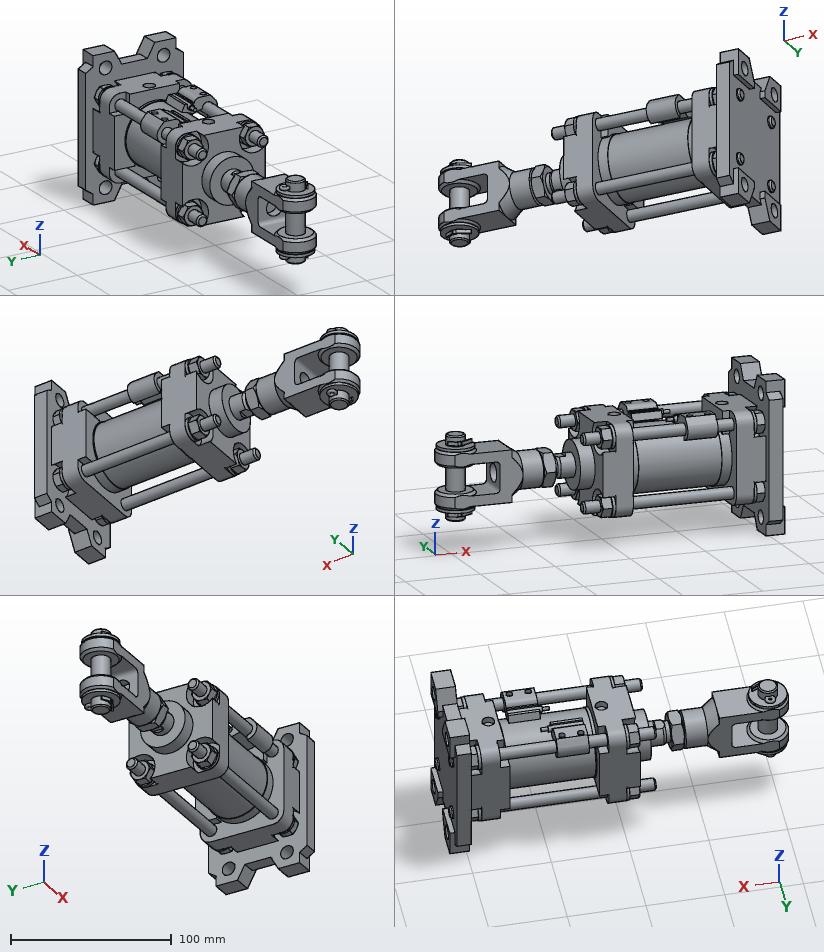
import cadquery as cq
import math


eye_radius = 13.0
pin_x = eye_radius
slot_end_x = 38.2
block_end_x = 46.2
neck_start_x = 53.5
neck_end_x = 67.2
lock_nut_start_x = 68.0
lock_nut_end_x = 76.0
thread_end_x = 78.7
tie_rod_start_x = 88.8
collar_start_x = 90.2
front_head_start_x = 100.0
front_head_end_x = 120.0
rear_head_start_x = 188.7
flange_start_x = 208.5
flange_back_x = 217.7
overall_length = 221
tie_rod_end_x = 219.7
tube_band_length = 6.6

clevis_width = 24.0
clevis_height = 34.0
arm_thickness = 6.9
slot_height = clevis_height - 2 * arm_thickness
slot_corner_radius = 2.9
eye_chamfer = 1.8
neck_radius = clevis_width / 2
thread_hole_radius = 6.0
thread_hole_depth = 6.6

pin_radius = 6.2
pin_length = 55.2
pin_chamfer = 0.9
washer_radius = 12.05
washer_thickness = 2.0
cotter_height = 2.5
cotter_leg_width = 1.0
cotter_z = 23.0
cotter_eye_y = 7.7
cotter_eye_radius = 2.2
cotter_bend_y = -7.5
long_leg_end = (9.5, -2.9)
short_leg_end = (-6.9, -4.5)

thread_radius = 6.96
rod_radius = 8.0
rod_cone_length = 1.8
flat_half_height = 6.96
flat_end_x = 84.6
flat_runout = 1.0
lock_nut_across_flats = 22.0
nut_chamfer_angle = 30

head_size = 60.1
tie_rod_radius = 4.0
tie_rod_offset = 22.0
tie_rod_chamfer = 1.0
head_corner_radius = head_size / 2 - tie_rod_offset
collar_radius = 16.02
tube_radius = 21.9
tube_band_radius = 22.3
nut_recess_radius = 10.8
front_recess_depth = 8.6
rear_recess_depth = 7.7
front_seat_x = front_head_start_x + front_recess_depth
rear_seat_x = flange_start_x - rear_recess_depth
nut_across_flats = 13.0
nut_washer_radius = 7.7
nut_washer_thickness = 2.0
boss_width = 2 * (tie_rod_offset - tie_rod_radius)
boss_inner_offset = 15.0
top_boss_length = 4.6
side_boss_length = 6.0
port_radius = 3.87
port_depth = 4.5
front_port_x = 118.7
rear_port_x = 190.5

flange_width = 71.0
flange_height = 100.0
ear_half_width = head_size / 2
ear_shoulder_z = 42.7
ear_chamfer_z = 39.1
notch_top_half_width = 14.5
notch_floor_half_width = 9.3
notch_floor_z = 40.2
pad_inner_y = 7.5
pad_bottom_z = 32.3
mount_hole_radius = 4.53
mount_hole_y = 21.0
mount_hole_z = 40.0

bracket_length = 20.1
bracket_start_x = 132.2
switch_pivot_x = 154.5
bracket_outer_radius = 7.0
bracket_top_z = 30.3
bracket_top_outer_y = 24.0
bracket_top_inner_y = 16.4
bracket_step = (25.5, 29.0)
bracket_slant_low_z = 25.6
bracket_shoulder = (14.0, 29.6)
cradle_top_z = 27.5
cradle_outer_y = 12.4
cradle_lip_top_y = 5.5
cradle_lip_foot_y = 3.3
cradle_foot_y = 11.0
cradle_foot_radius = 23.0
switch_radius = 2.0
switch_y = 9.3
switch_z = 25.5
switch_overhang = 2.2
lead_radius = 1.22
lead_y = 9.0
lead_length = 4.5
bracket_screw_radius = 2.0
bracket_screw_depth = 3.3
bracket_screw_y = 21.5
bracket_screw_inset = 4.0
bracket_screw_spacing = 12.0


def x_cylinder(start_x, end_x, radius, y=0.0, z=0.0):
    return cq.Workplane("YZ", origin=(start_x, y, z)).circle(radius).extrude(end_x - start_x)


def block(x_range, y_range, z_range):
    low, high = zip(x_range, y_range, z_range)
    size = [b - a for a, b in zip(low, high)]
    return cq.Workplane("XY").box(*size, centered=False).translate(low)


def chamfered_hex(start_x, end_x, across_flats, y=0.0, z=0.0, chamfered_ends="<X or >X"):
    """Hexagon along X with corners at +Y and -Y, its corners chamfered at the chosen ends."""
    corner_radius = across_flats / math.sqrt(3)
    chamfer_width = corner_radius - across_flats / 2
    chamfer_length = chamfer_width * math.tan(math.radians(nut_chamfer_angle))
    nut = cq.Workplane("YZ", origin=(start_x, y, z)).polygon(6, 2 * corner_radius)
    nut = nut.extrude(end_x - start_x)
    envelope = x_cylinder(start_x, end_x, corner_radius, y, z)
    envelope = envelope.faces(chamfered_ends).chamfer(chamfer_length, chamfer_width)
    return nut.intersect(envelope)


tie_rod_places = [
    (y, z) for y in (-tie_rod_offset, tie_rod_offset) for z in (-tie_rod_offset, tie_rod_offset)
]


def clevis_eye(middle_z):
    """Round end of one arm, standing proud of both arm faces with a chamfer."""
    height = arm_thickness + 2 * eye_chamfer
    eye = cq.Workplane("XY").circle(eye_radius).extrude(height).edges("%CIRCLE").chamfer(eye_chamfer)
    return eye.translate((pin_x, 0, middle_z - height / 2))


def make_clevis():
    half_width = clevis_width / 2
    half_height = clevis_height / 2
    width_range = (-half_width, half_width)
    body = block((pin_x, block_end_x), width_range, (-half_height, half_height))
    shank_profile = [
        (block_end_x, 0),
        (block_end_x, half_height),
        (neck_start_x, neck_radius),
        (neck_end_x, neck_radius),
        (neck_end_x, 0),
    ]
    shank = cq.Workplane("XY").polyline(shank_profile).close().revolve(360, (0, 0, 0), (1, 0, 0))
    slot = block((0, slot_end_x), width_range, (-slot_height / 2, slot_height / 2))
    slot = slot.edges(">X and |Y").fillet(slot_corner_radius)
    body = body.union(shank).cut(slot)
    arm_middle_z = (half_height + slot_height / 2) / 2
    keep = cq.Workplane("XY").center(pin_x, 0).circle(eye_radius).extrude(half_height, both=True)
    keep = keep.union(block((pin_x, overall_length), width_range, (-half_height, half_height)))
    body = body.intersect(keep)
    for middle_z in (-arm_middle_z, arm_middle_z):
        body = body.union(clevis_eye(middle_z))
    body = body.intersect(block((0, neck_end_x), width_range, (-clevis_height, clevis_height)))
    pin_hole = cq.Workplane("XY").center(pin_x, 0).circle(pin_radius).extrude(clevis_height, both=True)
    return body.cut(pin_hole).cut(x_cylinder(pin_x, neck_end_x, thread_hole_radius))


def cotter_leg(side, end):
    bend = (side * cotter_leg_width, cotter_bend_y)
    run = (end[0] - bend[0], end[1] - bend[1])
    length = math.hypot(*run)
    angle = math.degrees(math.atan2(run[1], run[0]))
    leg = cq.Workplane("XY").box(length, cotter_leg_width, cotter_height)
    leg = leg.rotate((0, 0, 0), (0, 0, 1), angle)
    return leg.translate(((bend[0] + end[0]) / 2, (bend[1] + end[1]) / 2, 0))


def make_cotter():
    wire_radius = cotter_height / 2
    shank = block(
        (-cotter_leg_width, cotter_leg_width),
        (cotter_bend_y, cotter_eye_y - cotter_eye_radius),
        (-wire_radius, wire_radius),
    )
    eye = cq.Workplane("XY").add(cq.Solid.makeTorus(cotter_eye_radius, wire_radius))
    eye = eye.translate((0, cotter_eye_y, 0))
    return shank.union(eye).union(cotter_leg(1, long_leg_end)).union(cotter_leg(-1, short_leg_end))


def make_pin():
    pin = cq.Workplane("XY").circle(pin_radius).extrude(pin_length).edges().chamfer(pin_chamfer)
    pin = pin.translate((0, 0, -pin_length / 2))
    eye_face_z = clevis_height / 2 + eye_chamfer
    washer = cq.Workplane("XY", origin=(0, 0, eye_face_z)).circle(washer_radius).extrude(washer_thickness)
    cotter = make_cotter().translate((0, 0, cotter_z))
    for part in (washer, cotter):
        pin = pin.union(part).union(part.mirror("XY"))
    return pin.translate((pin_x, 0, 0))


def make_piston_rod():
    tip_x = slot_end_x + thread_hole_depth
    rod = x_cylinder(tip_x, neck_end_x, thread_hole_radius)
    rod = rod.union(x_cylinder(neck_end_x, thread_end_x, thread_radius))
    shank = x_cylinder(thread_end_x, front_head_end_x, rod_radius)
    shank = shank.faces("<X").chamfer(rod_cone_length, rod_radius - thread_radius)
    flat_cutter = (
        cq.Workplane("XZ")
        .polyline(
            [
                (thread_end_x, flat_half_height),
                (flat_end_x, flat_half_height),
                (flat_end_x + flat_runout, rod_radius),
                (thread_end_x, rod_radius),
            ]
        )
        .close()
        .extrude(rod_radius, both=True)
    )
    shank = shank.cut(flat_cutter).cut(flat_cutter.mirror("XY"))
    lock_nut = chamfered_hex(lock_nut_start_x, lock_nut_end_x, lock_nut_across_flats)
    return rod.union(shank).union(lock_nut)


def make_head(start_x, end_x, recess_start_x, recess_end_x):
    head = cq.Workplane("YZ", origin=(start_x, 0, 0)).rect(head_size, head_size).extrude(end_x - start_x)
    head = head.edges("|X").fillet(head_corner_radius)
    for y, z in tie_rod_places:
        head = head.cut(x_cylinder(recess_start_x, recess_end_x, nut_recess_radius, y, z))
    return head


def head_bosses(face_x, direction):
    """Raised port boss on top and a longer one on the +Y side, both on the inner face of a head."""
    across = (-boss_width / 2, boss_width / 2)
    outward = (boss_inner_offset, head_size / 2)
    top_range = sorted((face_x, face_x + direction * top_boss_length))
    side_range = sorted((face_x, face_x + direction * side_boss_length))
    return block(top_range, across, outward).union(block(side_range, outward, across))


def port(x):
    return cq.Workplane("XY", origin=(x, 0, head_size / 2)).circle(port_radius).extrude(-port_depth)


def tie_rod(y, z):
    """Tie rod with a nut and washer in the recess of each head."""
    front_washer_x = front_seat_x - nut_washer_thickness
    rear_washer_x = rear_seat_x + nut_washer_thickness
    rod = x_cylinder(tie_rod_start_x, tie_rod_end_x, tie_rod_radius, y, z)
    rod = rod.faces("<X or >X").chamfer(tie_rod_chamfer)
    rod = rod.union(x_cylinder(front_washer_x, front_seat_x, nut_washer_radius, y, z))
    rod = rod.union(x_cylinder(rear_seat_x, rear_washer_x, nut_washer_radius, y, z))
    front_nut = chamfered_hex(front_head_start_x, front_washer_x, nut_across_flats, y, z, "<X")
    rear_nut = chamfered_hex(rear_washer_x, flange_start_x, nut_across_flats, y, z, ">X")
    return rod.union(front_nut).union(rear_nut)


def make_cylinder():
    body = make_head(front_head_start_x, front_head_end_x, front_head_start_x, front_seat_x)
    body = body.union(make_head(rear_head_start_x, flange_start_x, rear_seat_x, flange_start_x))
    body = body.union(head_bosses(front_head_end_x, 1)).union(head_bosses(rear_head_start_x, -1))
    body = body.union(x_cylinder(collar_start_x, front_head_start_x, collar_radius))
    body = body.union(x_cylinder(front_head_end_x, rear_head_start_x, tube_radius))
    front_band_end_x = front_head_end_x + tube_band_length
    rear_band_start_x = rear_head_start_x - tube_band_length
    body = body.union(x_cylinder(front_head_end_x, front_band_end_x, tube_band_radius))
    body = body.union(x_cylinder(rear_band_start_x, rear_head_start_x, tube_band_radius))
    for x in (front_port_x, rear_port_x):
        body = body.cut(port(x))
    body = body.cut(x_cylinder(collar_start_x, front_head_end_x, rod_radius))
    for y, z in tie_rod_places:
        body = body.union(tie_rod(y, z))
    return body


def make_flange():
    half_height = flange_height / 2
    quarter = [
        (0, 0),
        (flange_width / 2, 0),
        (flange_width / 2, ear_chamfer_z),
        (ear_half_width, ear_shoulder_z),
        (ear_half_width, half_height),
        (notch_top_half_width, half_height),
        (notch_floor_half_width, notch_floor_z),
        (0, notch_floor_z),
    ]
    notch_slope = (notch_top_half_width - notch_floor_half_width) / (half_height - notch_floor_z)
    pad_slant_end_z = notch_floor_z - (notch_floor_half_width - pad_inner_y) / notch_slope
    pad = [
        (ear_half_width, half_height),
        (notch_top_half_width, half_height),
        (pad_inner_y, pad_slant_end_z),
        (pad_inner_y, pad_bottom_z),
        (ear_half_width, pad_bottom_z),
    ]
    plane = cq.Workplane("YZ", origin=(flange_start_x, 0, 0))
    corner = plane.polyline(quarter).close().extrude(flange_back_x - flange_start_x)
    corner = corner.union(plane.polyline(pad).close().extrude(overall_length - flange_start_x))
    half = corner.union(corner.mirror("XZ"))
    flange = half.union(half.mirror("XY"))
    for y in (-mount_hole_y, mount_hole_y):
        for z in (-mount_hole_z, mount_hole_z):
            flange = flange.cut(x_cylinder(flange_start_x, overall_length, mount_hole_radius, y, z))
    for y, z in tie_rod_places:
        flange = flange.cut(x_cylinder(flange_start_x, overall_length, tie_rod_radius, y, z))
    return flange


def cradle_foot_point(y):
    """Point on the cradle underside, an arc about the cylinder axis just clear of the tube."""
    return (y, math.sqrt(cradle_foot_radius**2 - y**2))


def bracket_section():
    """Clip section in YZ: a hook around the tie rod, a flat top, and a cradle above the tube."""
    rod = tie_rod_offset
    hook = bracket_outer_radius
    grip = tie_rod_radius
    hook_side = rod + hook * math.sqrt(0.5)
    hook_low = rod - hook * math.sqrt(0.5)
    grip_diagonal = rod + grip * math.sqrt(0.5)
    slant_low_y = rod + math.sqrt(hook**2 - (bracket_slant_low_z - rod) ** 2)
    return (
        cq.Workplane("YZ", origin=(bracket_start_x, 0, 0))
        .moveTo(rod, rod - grip)
        .lineTo(rod, rod - hook)
        .threePointArc((hook_side, hook_low), (slant_low_y, bracket_slant_low_z))
        .lineTo(*bracket_step)
        .lineTo(bracket_top_outer_y, bracket_top_z)
        .lineTo(bracket_top_inner_y, bracket_top_z)
        .threePointArc(bracket_shoulder, (cradle_outer_y, cradle_top_z))
        .lineTo(cradle_lip_top_y, cradle_top_z)
        .lineTo(*cradle_foot_point(cradle_lip_foot_y))
        .threePointArc(
            cradle_foot_point((cradle_lip_foot_y + cradle_foot_y) / 2), cradle_foot_point(cradle_foot_y)
        )
        .lineTo(rod - grip, rod)
        .threePointArc((grip_diagonal, grip_diagonal), (rod, rod - grip))
        .close()
    )


def make_switch():
    bracket_end_x = bracket_start_x + bracket_length
    switch_end_x = bracket_end_x + switch_overhang
    clip = bracket_section().extrude(bracket_length)
    channel = block(
        (bracket_start_x, bracket_end_x),
        (switch_y - switch_radius, switch_y + switch_radius),
        (switch_z, bracket_top_z),
    )
    clip = clip.cut(channel)
    first_screw_x = bracket_start_x + bracket_screw_inset
    for screw_x in (first_screw_x, first_screw_x + bracket_screw_spacing):
        screw_top = cq.Workplane("XY", origin=(screw_x, bracket_screw_y, bracket_top_z))
        clip = clip.cut(screw_top.circle(bracket_screw_radius).extrude(-bracket_screw_depth))
    clip = clip.union(x_cylinder(bracket_start_x, switch_end_x, switch_radius, switch_y, switch_z))
    lead = x_cylinder(switch_end_x, switch_end_x + lead_length, lead_radius, lead_y, switch_z)
    return clip.union(lead)


clevis = make_clevis()
pin = make_pin()
piston_rod = make_piston_rod()
cylinder = make_cylinder()
flange = make_flange()
switches = []
for turn in (0, 180):
    switches.append(make_switch().rotate((switch_pivot_x, 0, 0), (switch_pivot_x, 0, 1), turn))

bodies = [clevis, pin, piston_rod, cylinder, flange, *switches]
result = cq.Compound.makeCompound([body.val() for body in bodies])